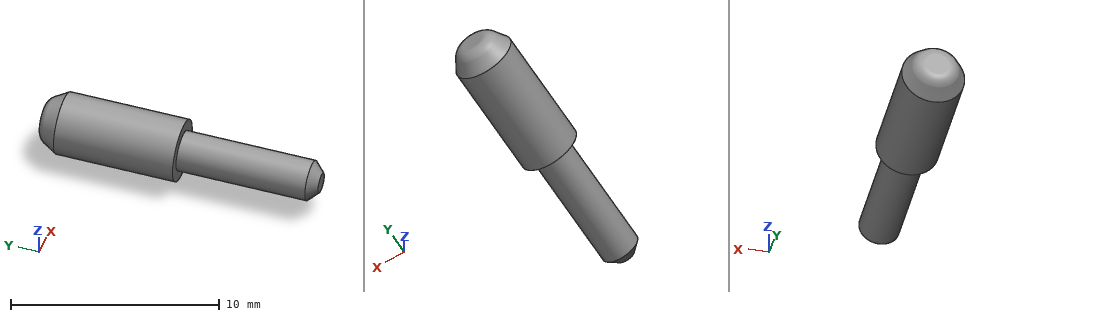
import cadquery as cq
import math

total_length = 14.0
barrel_length = total_length / 2
plunger_length = total_length - barrel_length

barrel_radius = 3.1 / 2
nose_length = 1.0
nose_half_angle = 30.0
nose_round_radius = 0.65
nose_end_radius = barrel_radius - nose_length * math.tan(math.radians(nose_half_angle))

plunger_radius = 2.0 / 2
tip_chamfer = 0.5

shoulder_y = 0.0
nose_end_y = barrel_length
nose_start_y = nose_end_y - nose_length


def make_barrel():
    """Revolve the half profile of the barrel about the Y axis and round the nose edge."""
    return (
        cq.Workplane("XY")
        .moveTo(0, shoulder_y)
        .lineTo(barrel_radius, shoulder_y)
        .lineTo(barrel_radius, nose_start_y)
        .lineTo(nose_end_radius, nose_end_y)
        .lineTo(0, nose_end_y)
        .close()
        .revolve(360, (0, 0, 0), (0, 1, 0))
        .faces(">Y")
        .edges()
        .fillet(nose_round_radius)
    )


def make_plunger():
    """Extrude the plunger from the barrel's flat shoulder and chamfer its tip."""
    return (
        cq.Workplane("XZ", origin=(0, shoulder_y, 0))
        .circle(plunger_radius)
        .extrude(plunger_length)
        .faces("<Y")
        .chamfer(tip_chamfer)
    )


barrel = make_barrel()
plunger = make_plunger()

result = cq.Compound.makeCompound([barrel.val(), plunger.val()])